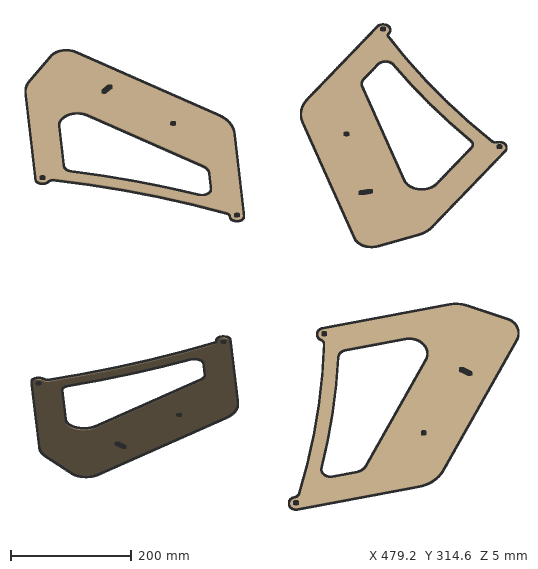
import math

import cadquery as cq


LENGTH = 479.18
WIDTH = 314.55
THICKNESS = 5.0
EDGE_RADIUS = 2.0

TOP_ANGLE = -4.0
SLOPE_ANGLE = -56.0

EAR_RADIUS = 12.0
EAR_BLEND_RADIUS = 9.0
HOLE_DIAMETER = 6.4
EAR_RISE = 78.2
LEFT_X = -139.4
LOWER_EAR = (0.0, 0.0)
UPPER_EAR = (LEFT_X + LENGTH - EAR_RADIUS, EAR_RISE)
LOWER_EDGE_RADIUS = 1330.0

TOP_LEFT_RADIUS = 30.0
TOP_RIGHT_RADIUS = 60.0
LEFT_RADIUS = 50.0

SIDE_STRIP = 50.0
TOP_STRIP = 120.0
LOWER_STRIP = 25.0
WINDOW_TOP_LEFT_RADIUS = 30.0
WINDOW_TOP_RIGHT_RADIUS = 22.5
WINDOW_LOWER_RADIUS = 15.0

ADJUST_HOLE = (121.8, 225.7)
SLOT_RADIUS = 140.0
SLOT_WIDTH = HOLE_DIAMETER
SLOT_MIDDLE_ANGLE = 171.6
SLOT_SWEEP = 6.0


def polar(center, radius, angle):
    """Point at a distance and an angle in degrees from a centre."""
    turn = math.radians(angle)
    return (center[0] + radius * math.cos(turn), center[1] + radius * math.sin(turn))


def crossing(point_a, angle_a, point_b, angle_b):
    """Point where two lines meet, each given by a point and an angle in degrees."""
    ax, ay = polar((0, 0), 1, angle_a)
    bx, by = polar((0, 0), 1, angle_b)
    dx = point_b[0] - point_a[0]
    dy = point_b[1] - point_a[1]
    distance = (dx * by - dy * bx) / (ax * by - ay * bx)
    return polar(point_a, distance, angle_a)


def line_circle_crossing(point, angle, center, radius):
    """First point, going along a line from outside, where it enters a circle."""
    ux, uy = polar((0, 0), 1, angle)
    dx = center[0] - point[0]
    dy = center[1] - point[1]
    along = dx * ux + dy * uy
    aside = dx * uy - dy * ux
    return polar(point, along - math.sqrt(radius**2 - aside**2), angle)


def round_corner(body, corner, radius):
    """Round the upright edge nearest to a corner point."""
    return body.edges("|Z").edges(cq.selectors.NearestToPointSelector((*corner, 0))).fillet(radius)


def prism(outline):
    """Extrude a closed outline over the thickness, centred on the XY plane."""
    return outline.extrude(THICKNESS / 2, both=True)


def disc(center, radius):
    """Round disc as thick as the plate."""
    return prism(cq.Workplane("XY").center(*center).circle(radius))


TOP_NORMAL = TOP_ANGLE + 90
RIGHT_NORMAL = SLOPE_ANGLE + 90
LEFT_NORMAL = SLOPE_ANGLE - 90

EAR_SPACING = math.dist(LOWER_EAR, UPPER_EAR)
EAR_ANGLE = math.degrees(math.atan2(UPPER_EAR[1] - LOWER_EAR[1], UPPER_EAR[0] - LOWER_EAR[0]))
EAR_MIDDLE = polar(LOWER_EAR, EAR_SPACING / 2, EAR_ANGLE)
CENTER_DEPTH = math.sqrt(LOWER_EDGE_RADIUS**2 - (EAR_SPACING / 2) ** 2)
LOWER_EDGE_CENTER = polar(EAR_MIDDLE, CENTER_DEPTH, EAR_ANGLE - 90)
LOWER_EDGE_MIDDLE = polar(LOWER_EDGE_CENTER, LOWER_EDGE_RADIUS, EAR_ANGLE + 90)

TOP_LEFT_CENTER = (LEFT_X + TOP_LEFT_RADIUS, WIDTH - EAR_RADIUS - TOP_LEFT_RADIUS)
TOP_TANGENT = polar(TOP_LEFT_CENTER, TOP_LEFT_RADIUS, TOP_NORMAL)
RIGHT_TANGENT = polar(UPPER_EAR, EAR_RADIUS, RIGHT_NORMAL)
LEFT_TANGENT = polar(LOWER_EAR, EAR_RADIUS, LEFT_NORMAL)


def plate():
    top_left = crossing(TOP_TANGENT, TOP_ANGLE, (LEFT_X, 0), 90)
    top_right = crossing(TOP_TANGENT, TOP_ANGLE, RIGHT_TANGENT, SLOPE_ANGLE)
    left = crossing((LEFT_X, 0), 90, LEFT_TANGENT, SLOPE_ANGLE)
    outline = (
        cq.Workplane("XY")
        .polyline([LOWER_EAR, LEFT_TANGENT, left, top_left, top_right, RIGHT_TANGENT, UPPER_EAR])
        .threePointArc(LOWER_EDGE_MIDDLE, LOWER_EAR)
        .close()
    )
    body = prism(outline)
    for ear in (LOWER_EAR, UPPER_EAR):
        body = body.union(disc(ear, EAR_RADIUS))
    body = round_corner(body, top_left, TOP_LEFT_RADIUS)
    body = round_corner(body, top_right, TOP_RIGHT_RADIUS)
    body = round_corner(body, left, LEFT_RADIUS)
    chord_turn = math.degrees(2 * math.asin(EAR_RADIUS / (2 * LOWER_EDGE_RADIUS)))
    half_turn = math.degrees(math.asin(EAR_SPACING / (2 * LOWER_EDGE_RADIUS)))
    for side in (-1, 1):
        angle = EAR_ANGLE + 90 + side * (half_turn - chord_turn)
        junction = polar(LOWER_EDGE_CENTER, LOWER_EDGE_RADIUS, angle)
        body = round_corner(body, junction, EAR_BLEND_RADIUS)
    return body


def window():
    top_point = polar(TOP_TANGENT, -TOP_STRIP, TOP_NORMAL)
    right_point = polar(RIGHT_TANGENT, -SIDE_STRIP, RIGHT_NORMAL)
    left_point = polar(LEFT_TANGENT, -SIDE_STRIP, LEFT_NORMAL)
    arc_center = polar(LOWER_EDGE_CENTER, LOWER_STRIP, EAR_ANGLE + 90)
    arc_middle = polar(LOWER_EDGE_MIDDLE, LOWER_STRIP, EAR_ANGLE + 90)
    top_left = crossing(top_point, TOP_ANGLE, left_point, SLOPE_ANGLE)
    top_right = crossing(top_point, TOP_ANGLE, right_point, SLOPE_ANGLE)
    lower_right = line_circle_crossing(top_right, SLOPE_ANGLE, arc_center, LOWER_EDGE_RADIUS)
    lower_left = line_circle_crossing(top_left, SLOPE_ANGLE, arc_center, LOWER_EDGE_RADIUS)
    outline = (
        cq.Workplane("XY")
        .polyline([lower_left, top_left, top_right, lower_right])
        .threePointArc(arc_middle, lower_left)
        .close()
    )
    body = prism(outline)
    body = round_corner(body, top_left, WINDOW_TOP_LEFT_RADIUS)
    body = round_corner(body, top_right, WINDOW_TOP_RIGHT_RADIUS)
    for corner in (lower_left, lower_right):
        body = round_corner(body, corner, WINDOW_LOWER_RADIUS)
    return body


def slot():
    """Slot along an arc about the adjustment hole, with round ends."""
    inner = SLOT_RADIUS - SLOT_WIDTH / 2
    outer = SLOT_RADIUS + SLOT_WIDTH / 2
    start = SLOT_MIDDLE_ANGLE - SLOT_SWEEP / 2
    end = SLOT_MIDDLE_ANGLE + SLOT_SWEEP / 2
    overrun = math.degrees(SLOT_WIDTH / 2 / SLOT_RADIUS)
    outline = (
        cq.Workplane("XY")
        .moveTo(*polar(ADJUST_HOLE, inner, start))
        .threePointArc(
            polar(ADJUST_HOLE, inner, SLOT_MIDDLE_ANGLE),
            polar(ADJUST_HOLE, inner, end),
        )
        .threePointArc(
            polar(ADJUST_HOLE, SLOT_RADIUS, end + overrun),
            polar(ADJUST_HOLE, outer, end),
        )
        .threePointArc(
            polar(ADJUST_HOLE, outer, SLOT_MIDDLE_ANGLE),
            polar(ADJUST_HOLE, outer, start),
        )
        .threePointArc(
            polar(ADJUST_HOLE, SLOT_RADIUS, start - overrun),
            polar(ADJUST_HOLE, inner, start),
        )
        .close()
    )
    return prism(outline)


result = plate().cut(window()).faces("|Z").edges().fillet(EDGE_RADIUS)
for hole in (LOWER_EAR, UPPER_EAR, ADJUST_HOLE):
    result = result.cut(disc(hole, HOLE_DIAMETER / 2))
result = result.cut(slot())